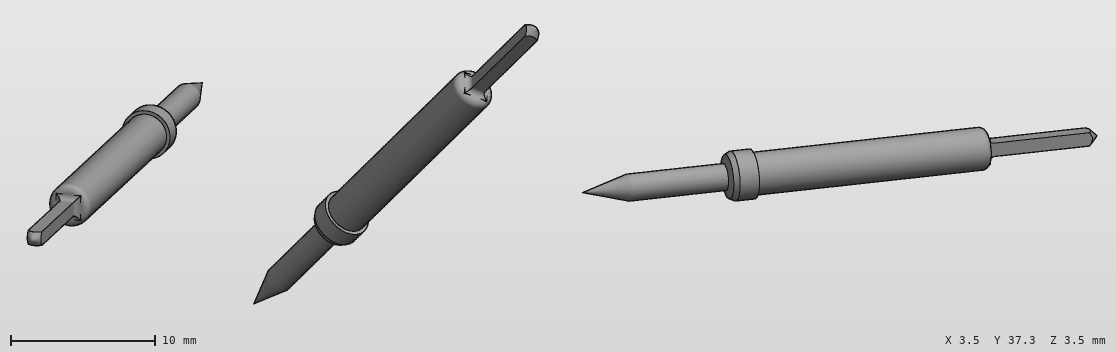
import cadquery as cq
import math


FULL_TURN = 360
AXIS_START = (0, 0, 0)
AXIS_END = (0, 1, 0)

POINT_TIP_Y = 12.3
POINT_LENGTH = 3.3
PLUNGER_RADIUS = 0.95

COLLAR_RADIUS = 1.75
COLLAR_RIM_Y = 1.4
COLLAR_SHOULDER_RADIUS = 1.55
COLLAR_SHOULDER_Y = 1.8
COLLAR_FRONT_Y = 2.0
BARREL_RADIUS = 1.5
BARREL_LENGTH = 17.0
BARREL_END_ROUND = 0.5

PIN_SIDE = 1.0
PIN_TIP_Y = -25.0
PIN_ROOT_RADIUS = 0.4

barrel_end_y = -BARREL_LENGTH
pin_half = PIN_SIDE / 2


def barrel():
    """Round barrel behind the collar, with a rounded rear end."""
    base = cq.Workplane("XZ", origin=(0, barrel_end_y, 0))
    body = base.circle(BARREL_RADIUS).extrude(-BARREL_LENGTH)
    return body.faces("<Y").edges().fillet(BARREL_END_ROUND)


def collar():
    """Collar with a steep cone and then a shallow cone narrowing to the plunger."""
    half_section = (
        cq.Workplane("XY")
        .lineTo(COLLAR_RADIUS, 0)
        .lineTo(COLLAR_RADIUS, COLLAR_RIM_Y)
        .lineTo(COLLAR_SHOULDER_RADIUS, COLLAR_SHOULDER_Y)
        .lineTo(PLUNGER_RADIUS, COLLAR_FRONT_Y)
        .lineTo(0, COLLAR_FRONT_Y)
        .close()
    )
    return half_section.revolve(FULL_TURN, AXIS_START, AXIS_END)


def plunger():
    """Round plunger ending in a sharp cone."""
    cone_base_y = POINT_TIP_Y - POINT_LENGTH
    half_section = (
        cq.Workplane("XY")
        .lineTo(PLUNGER_RADIUS, 0)
        .lineTo(PLUNGER_RADIUS, cone_base_y)
        .lineTo(0, POINT_TIP_Y)
        .close()
    )
    return half_section.revolve(FULL_TURN, AXIS_START, AXIS_END)


def pin_profile(plane):
    """Pin outline with concave root flares, extruded across the full flare width."""
    root_half = pin_half + PIN_ROOT_RADIUS
    flare_end_y = barrel_end_y - PIN_ROOT_RADIUS
    embedded_y = barrel_end_y + BARREL_END_ROUND
    arc_offset = PIN_ROOT_RADIUS * (1 - math.sqrt(0.5))
    arc_half = pin_half + arc_offset
    arc_y = barrel_end_y - arc_offset
    outline = (
        cq.Workplane(plane)
        .moveTo(embedded_y, root_half)
        .lineTo(barrel_end_y, root_half)
        .threePointArc((arc_y, arc_half), (flare_end_y, pin_half))
        .lineTo(PIN_TIP_Y, pin_half)
        .lineTo(PIN_TIP_Y, -pin_half)
        .lineTo(flare_end_y, -pin_half)
        .threePointArc((arc_y, -arc_half), (barrel_end_y, -root_half))
        .lineTo(embedded_y, -root_half)
        .close()
    )
    return outline.extrude(root_half, both=True)


def pin_point_envelope():
    """Cone with 45 degree sides, opening from the pin tip until it clears the pin."""
    cone_length = barrel_end_y + BARREL_END_ROUND - PIN_TIP_Y
    tip = cq.Vector(0, PIN_TIP_Y, 0)
    toward_barrel = cq.Vector(*AXIS_END)
    return cq.Workplane(cq.Solid.makeCone(0, cone_length, cone_length, tip, toward_barrel))


def tail_pin():
    """Square pin: two crossed profiles give it the flare on all four sides."""
    pin = pin_profile("YX").intersect(pin_profile("YZ"))
    return pin.intersect(pin_point_envelope())


result = barrel().union(collar()).union(plunger()).union(tail_pin())